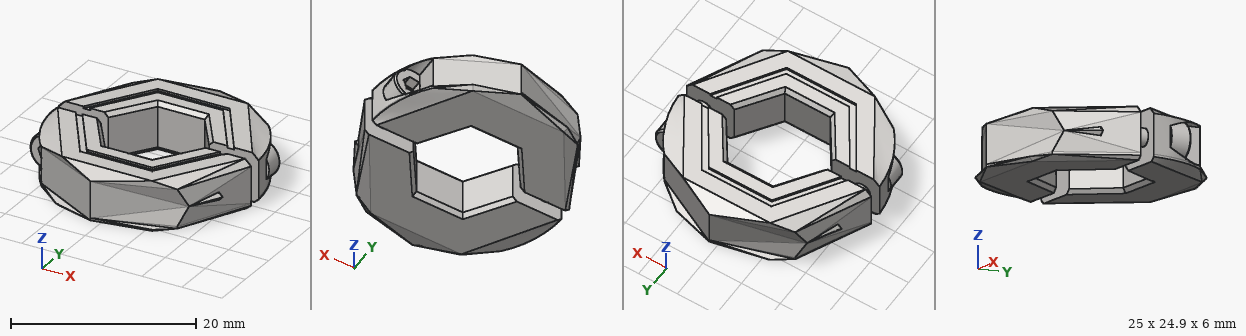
import cadquery as cq
import math


outer_radius = 12.5
height = 6.0
half_gap = 0.8
top_face_radius = 11.73
bottom_face_radius = 11.98
belt_margin = 0.75
bottom_rim_height = 0.45
chords_per_half = 3

bore_radius = 6.34
bore_chamfer = 0.52
groove_inner_radius = 8.63
groove_outer_radius = 9.45
groove_depth = 0.25

screw_x = 10.23
screw_z = height / 2
head_diameter = 4.5
head_base_y = 3.05
head_front_y = 5.5
head_chamfer = 0.2
shank_diameter = 2.05
shank_end_y = 3.05
ridge_base_y = 4.8
socket_flats = 2.05
socket_depth = 1.25
socket_turn = 11.0
pocket_wall_x = 9.38

pocket_angle = math.acos(pocket_wall_x / outer_radius)
ridge_peak_angle = math.radians(137.4)


def gap_angle(radius):
    """Angle at which a circle of this radius meets the split face."""
    return math.asin(half_gap / radius)


def spread(first, last, steps):
    """Angles that divide the stretch from first to last into equal steps."""
    return [first + (last - first) * i / steps for i in range(steps + 1)]


def chord_angles(radius):
    start = gap_angle(radius)
    return spread(start, math.pi - start, chords_per_half)


def ring_point(radius, angle, z):
    return (-radius * math.cos(angle), -radius * math.sin(angle), z)


def flat_face(corners):
    wire = cq.Wire.makePolygon([cq.Vector(*p) for p in corners], close=True)
    return cq.Face.makeFromWires(wire)


def closed_solid(faces):
    """Solid enclosed by faces that meet edge to edge."""
    return cq.Workplane(cq.Solid.makeSolid(cq.Shell.makeShell(faces)))


def band(upper, lower):
    """Triangles between two rings, each ring being (radius, angles, z)."""
    upper_radius, upper_angles, upper_z = upper
    lower_radius, lower_angles, lower_z = lower
    upper_points = [ring_point(upper_radius, a, upper_z) for a in upper_angles]
    lower_points = [ring_point(lower_radius, a, lower_z) for a in lower_angles]
    triangles = []
    i = 0
    j = 0
    while i + 1 < len(upper_points) or j + 1 < len(lower_points):
        upper_done = i + 1 == len(upper_points)
        lower_done = j + 1 == len(lower_points)
        if upper_done or (not lower_done and lower_angles[j + 1] <= upper_angles[i + 1]):
            triangles.append([upper_points[i], lower_points[j], lower_points[j + 1]])
            j += 1
        else:
            triangles.append([upper_points[i], lower_points[j], upper_points[i + 1]])
            i += 1
    return [flat_face(corners) for corners in triangles]


def curved_edge(z):
    """Arc along the curved stretch of the belt, from the split face to the pocket wall."""
    start = gap_angle(outer_radius)
    arc_angles = spread(start, pocket_angle, 2)
    points = [cq.Vector(*ring_point(outer_radius, a, z)) for a in arc_angles]
    return cq.Edge.makeThreePointArc(*points)


def first_chord(radius, z):
    ends = chord_angles(radius)[:2]
    points = [cq.Vector(*ring_point(radius, a, z)) for a in ends]
    return cq.Edge.makeLine(*points)


def outer_half():
    """Outer shape of the -Y half, without bore, groove or screw pocket."""
    belt_start = gap_angle(outer_radius)
    belt_end = math.pi - belt_start
    belt_top_z = height - belt_margin
    belt_angles = spread(pocket_angle, belt_end, chords_per_half)
    rim_angles = sorted(belt_angles + chord_angles(outer_radius)[1:-1])
    top_angles = chord_angles(top_face_radius)
    bottom_angles = chord_angles(bottom_face_radius)

    edges = [
        first_chord(top_face_radius, height),
        curved_edge(belt_top_z),
        curved_edge(belt_margin),
        curved_edge(bottom_rim_height),
        first_chord(bottom_face_radius, 0),
    ]
    faces = [cq.Face.makeRuledSurface(upper, lower) for upper, lower in zip(edges, edges[1:])]

    top = (top_face_radius, top_angles[1:], height)
    belt_top = (outer_radius, belt_angles, belt_top_z)
    belt_bottom = (outer_radius, belt_angles, belt_margin)
    rim = (outer_radius, rim_angles, bottom_rim_height)
    bottom = (bottom_face_radius, bottom_angles[1:], 0)
    faces += band(top, belt_top) + band(belt_bottom, rim) + band(rim, bottom)

    plain_angles = belt_angles[:2]
    faces += band(
        (outer_radius, plain_angles, belt_top_z),
        (outer_radius, plain_angles, belt_margin),
    )
    peak = ring_point(outer_radius, ridge_peak_angle, screw_z)
    peak_angles = belt_angles[1:]
    peak_border = [ring_point(outer_radius, a, belt_top_z) for a in peak_angles]
    peak_border += [ring_point(outer_radius, a, belt_margin) for a in reversed(peak_angles)]
    for i, corner in enumerate(peak_border):
        faces.append(flat_face([peak, peak_border[i - 1], corner]))

    faces.append(flat_face([ring_point(top_face_radius, a, height) for a in top_angles]))
    faces.append(flat_face([ring_point(bottom_face_radius, a, 0) for a in bottom_angles]))

    profile = [
        (top_face_radius, height),
        (outer_radius, belt_top_z),
        (outer_radius, belt_margin),
        (outer_radius, bottom_rim_height),
        (bottom_face_radius, 0),
    ]
    split_face = [ring_point(r, gap_angle(r), z) for r, z in profile]
    split_face += [ring_point(r, math.pi - gap_angle(r), z) for r, z in reversed(profile)]
    faces.append(flat_face(split_face))
    return closed_solid(faces)


def chord_outline(radius):
    """Corners of a three-chord half ring, closed across the split face."""
    return [ring_point(radius, a, 0)[:2] for a in chord_angles(radius)]


def chord_prism(radius, bottom_z, prism_height):
    base = cq.Workplane("XY").workplane(offset=bottom_z)
    return base.polyline(chord_outline(radius)).close().extrude(prism_height)


def bore_flare(face_z, inner_z):
    """Chamfer volume that widens the bore toward an end face."""
    flare = cq.Workplane("XY").workplane(offset=inner_z)
    flare = flare.polyline(chord_outline(bore_radius)).close()
    flare = flare.workplane(offset=face_z - inner_z)
    flare = flare.polyline(chord_outline(bore_radius + bore_chamfer)).close()
    return flare.loft(ruled=True, combine=True)


def screw_cylinder(diameter, start_y, end_y):
    """Cylinder on the axis of the screw whose head is in the -Y half."""
    plane = cq.Plane(origin=(-screw_x, start_y, screw_z), xDir=(1, 0, 0), normal=(0, 1, 0))
    return cq.Workplane(plane).circle(diameter / 2).extrude(end_y - start_y)


def screw_pocket():
    """Clearance in front of the screw head, with a flat side wall."""
    clearance = screw_cylinder(head_diameter, -outer_radius, -head_front_y)
    outside_wall = cq.Workplane("XY").box(
        outer_radius, 2 * outer_radius, height, centered=(False, True, False)
    )
    return clearance.intersect(outside_wall.translate((-outer_radius - pocket_wall_x, 0, 0)))


def screw_ridge():
    """Pointed ridge in line with the screw, rising to the peak on the belt of the -Y half."""
    base_radius = shank_diameter / 2
    peak = ring_point(outer_radius, ridge_peak_angle, screw_z)
    outer = (screw_x + base_radius, -ridge_base_y, screw_z)
    upper = (screw_x, -ridge_base_y, screw_z + base_radius)
    lower = (screw_x, -ridge_base_y, screw_z - base_radius)
    triangles = [
        (outer, upper, lower),
        (peak, outer, upper),
        (peak, upper, lower),
        (peak, lower, outer),
    ]
    return closed_solid([flat_face(corners) for corners in triangles])


def collar_half():
    half = outer_half()
    half = half.cut(chord_prism(bore_radius, 0, height))
    half = half.cut(bore_flare(height, height - bore_chamfer))
    half = half.cut(bore_flare(0, bore_chamfer))
    groove_floor = height - groove_depth
    groove = chord_prism(groove_outer_radius, groove_floor, groove_depth)
    groove = groove.cut(chord_prism(groove_inner_radius, groove_floor, groove_depth))
    half = half.cut(groove).cut(screw_pocket())
    return half.union(screw_ridge())


def screw():
    head = screw_cylinder(head_diameter, -head_front_y, -head_base_y)
    head = head.faces("<Y").chamfer(head_chamfer)
    shank = screw_cylinder(shank_diameter, -head_base_y, shank_end_y)
    return head.union(shank)


def screw_socket():
    socket_corners = socket_flats / math.cos(math.pi / 6)
    plane = cq.Plane(
        origin=(-screw_x, -head_front_y, screw_z), xDir=(1, 0, 0), normal=(0, 1, 0)
    ).rotated((0, 0, socket_turn))
    return cq.Workplane(plane).polygon(6, socket_corners).extrude(socket_depth)


def half_turn(shape):
    return shape.rotate((0, 0, 0), (0, 0, 1), 180)


front_half = collar_half()
front_screw = screw()
front_socket = screw_socket()

result = front_half.union(half_turn(front_half))
result = result.union(front_screw).union(half_turn(front_screw))
result = result.cut(front_socket).cut(half_turn(front_socket))